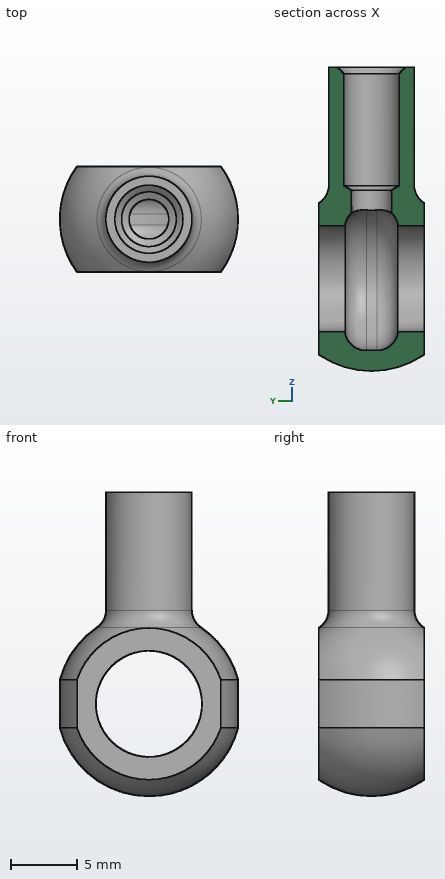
import cadquery as cq
import math

height = 23.0

ball_radius = 7.0
waist_diameter = 13.5
head_width = 8.0

stem_diameter = 6.5
neck_fillet = 1.59

bore_diameter = 8.0
groove_depth = 1.4
groove_half_width = 2.0
groove_floor_half_width = 0.41

entry_diameter = 5.15
wide_diameter = 4.15
narrow_diameter = 3.0
step_height = 14.03
step_half_angle = 59.0

stem_radius = stem_diameter / 2
bore_radius = bore_diameter / 2
wide_radius = wide_diameter / 2
narrow_radius = narrow_diameter / 2
ball_center_z = ball_radius


def outer_body():
    """Ball and stem turned around Z in one profile, joined by the neck fillet."""
    fillet_x = stem_radius + neck_fillet
    center_distance = ball_radius + neck_fillet
    fillet_z = ball_center_z + math.sqrt(center_distance**2 - fillet_x**2)
    stem_angle = math.pi
    ball_angle = math.pi + math.atan2(fillet_z - ball_center_z, fillet_x)
    middle_angle = (stem_angle + ball_angle) / 2

    def on_fillet(angle):
        return (fillet_x + neck_fillet * math.cos(angle), fillet_z + neck_fillet * math.sin(angle))

    profile = (
        cq.Workplane("XZ")
        .moveTo(0, 0)
        .threePointArc((ball_radius, ball_center_z), on_fillet(ball_angle))
        .threePointArc(on_fillet(middle_angle), on_fillet(stem_angle))
        .lineTo(stem_radius, height)
        .lineTo(0, height)
        .close()
    )
    body = profile.revolve(360, (0, 0), (0, 1))
    waist = cq.Workplane("XY").circle(waist_diameter / 2).extrude(height)
    slab = cq.Workplane("XY").box(waist_diameter, head_width, height, centered=(True, True, False))
    return body.intersect(waist).intersect(slab)


def cross_bore():
    """Bore along Y; the groove has a flat floor and sides that are arcs tangent to it."""
    floor_radius = bore_radius + groove_depth
    side_run = groove_half_width - groove_floor_half_width
    side_radius = (side_run**2 + groove_depth**2) / (2 * groove_depth)
    half_sweep = math.atan2(groove_depth, side_run)
    middle_x = floor_radius - side_radius * (1 - math.cos(half_sweep))
    middle_y = groove_floor_half_width + side_radius * math.sin(half_sweep)
    end_y = head_width / 2
    profile = (
        cq.Workplane("XY")
        .moveTo(0, -end_y)
        .lineTo(bore_radius, -end_y)
        .lineTo(bore_radius, -groove_half_width)
        .threePointArc((middle_x, -middle_y), (floor_radius, -groove_floor_half_width))
        .lineTo(floor_radius, groove_floor_half_width)
        .threePointArc((middle_x, middle_y), (bore_radius, groove_half_width))
        .lineTo(bore_radius, end_y)
        .lineTo(0, end_y)
        .close()
    )
    return profile.revolve(360, (0, 0), (0, 1)).translate((0, 0, ball_center_z))


def stem_passage():
    """Stepped passage from the stem's top into the cross bore."""
    entry_radius = entry_diameter / 2
    entry_depth = entry_radius - wide_radius
    cone_depth = (wide_radius - narrow_radius) / math.tan(math.radians(step_half_angle))
    profile = [
        (0, ball_center_z),
        (narrow_radius, ball_center_z),
        (narrow_radius, step_height - cone_depth),
        (wide_radius, step_height),
        (wide_radius, height - entry_depth),
        (entry_radius, height),
        (0, height),
    ]
    return cq.Workplane("XZ").polyline(profile).close().revolve(360, (0, 0), (0, 1))


result = outer_body().cut(cross_bore()).cut(stem_passage())